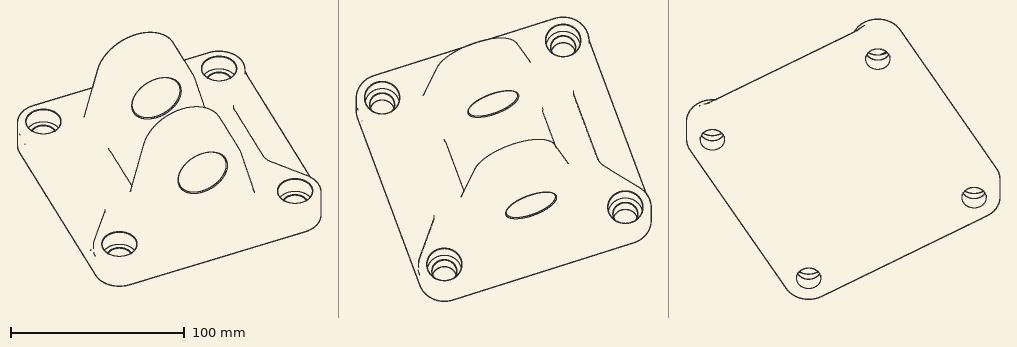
import cadquery as cq
import math

plate_side = 140.0
plate_height = 20.0
corner_radius = 15.0
edge_radius = 1.0
half_side = plate_side / 2
bolt_offset = half_side - corner_radius

recess_floor = 15.0
recess_wall_y = 50.0
recess_bend_x = 24.0
recess_bend_radius = 10.0

bolt_hole_diameter = 14.0
counterbore_diameter = 19.9
counterbore_depth = 10.0
bolt_hole_chamfer = 0.3

pin_height = 50.0
pin_hole_diameter = 30.0
pin_hole_chamfer = 0.5
lug_radius = 25.0
lug_inner_x = 18.5
lug_outer_x = 48.5
lug_foot_half_width = 33.0
lug_foot_radius = 2.0

scoop_radius = 42.0

clearance = 14.0

pick_margin = 0.1


def base_block():
    """Square block with rounded vertical corners, standing on Z = 0."""
    block = cq.Workplane("XY").box(plate_side, plate_side, plate_height, centered=(True, True, False))
    return block.edges("|Z").fillet(corner_radius)


def recess_cutter():
    """Cutter for the +Y recess; its sloping walls run tangent into the plate corners."""
    run = bolt_offset - recess_bend_x
    rise = bolt_offset - recess_wall_y
    slope = math.atan2(rise, run) + math.asin(corner_radius / math.hypot(run, rise))

    def corner_point(angle):
        return (
            bolt_offset - corner_radius * math.sin(angle),
            bolt_offset + corner_radius * math.cos(angle),
        )

    tangent_x, tangent_y = corner_point(slope)
    middle_x, middle_y = corner_point(slope / 2)
    outer_x = half_side + clearance
    outer_y = half_side + clearance
    cutter = (
        cq.Workplane("XY", origin=(0, 0, recess_floor))
        .moveTo(-outer_x, half_side)
        .lineTo(-bolt_offset, half_side)
        .threePointArc((-middle_x, middle_y), (-tangent_x, tangent_y))
        .lineTo(-recess_bend_x, recess_wall_y)
        .lineTo(recess_bend_x, recess_wall_y)
        .lineTo(tangent_x, tangent_y)
        .threePointArc((middle_x, middle_y), (bolt_offset, half_side))
        .lineTo(outer_x, half_side)
        .lineTo(outer_x, outer_y)
        .lineTo(-outer_x, outer_y)
        .close()
        .extrude(plate_height - recess_floor)
    )
    bends = cq.selectors.BoxSelector(
        (-recess_bend_x - pick_margin, recess_wall_y - pick_margin, recess_floor),
        (recess_bend_x + pick_margin, recess_wall_y + pick_margin, plate_height),
    )
    cutter = cutter.edges("|Z").edges(bends).fillet(recess_bend_radius)
    wall_foot = cq.selectors.BoxSelector(
        (-outer_x + pick_margin, recess_wall_y - pick_margin, recess_floor - pick_margin),
        (outer_x - pick_margin, half_side + pick_margin, recess_floor + pick_margin),
    )
    return cutter.faces("<Z").edges(wall_foot).fillet(edge_radius)


def base_plate():
    """Plate with a recess on each of its Y sides and rounded rims all round."""
    cutter = recess_cutter()
    plate = base_block().cut(cutter).cut(cutter.mirror("XZ"))
    floor_rims = plate.faces("<Y or >Y").edges(
        cq.selectors.BoxSelector(
            (-pick_margin, -half_side - pick_margin, recess_floor - pick_margin),
            (pick_margin, half_side + pick_margin, recess_floor + pick_margin),
        )
    )
    plate = floor_rims.fillet(edge_radius)
    return plate.faces("<Z or >Z").edges().fillet(edge_radius)


def lug(start_x):
    """Lug whose straight sides are tangent to its round head, standing on the plate."""
    rise = pin_height - plate_height
    head_to_foot = math.hypot(lug_foot_half_width, rise)
    tangent_angle = math.acos(lug_radius / head_to_foot) - math.atan2(rise, lug_foot_half_width)
    tangent_y = lug_radius * math.cos(tangent_angle)
    tangent_z = pin_height + lug_radius * math.sin(tangent_angle)
    body = (
        cq.Workplane("YZ", origin=(start_x, 0, 0))
        .moveTo(-lug_foot_half_width, plate_height)
        .lineTo(lug_foot_half_width, plate_height)
        .lineTo(tangent_y, tangent_z)
        .threePointArc((0, pin_height + lug_radius), (-tangent_y, tangent_z))
        .close()
        .extrude(lug_outer_x - lug_inner_x)
    )
    body = body.faces("<X or >X").edges("not <Z").fillet(edge_radius)
    pin_hole = (
        cq.Workplane("YZ", origin=(start_x, 0, pin_height))
        .circle(pin_hole_diameter / 2)
        .extrude(lug_outer_x - lug_inner_x)
    )
    body = body.cut(pin_hole)
    around_pin = cq.selectors.BoxSelector(
        (-half_side, -pick_margin, pin_height - pick_margin),
        (half_side, pick_margin, pin_height + pick_margin),
    )
    return body.faces("<X or >X").edges(around_pin).chamfer(pin_hole_chamfer)


def plate_with_lugs():
    """Plate and both lugs in one body, with fillets round the feet of the lugs."""
    body = base_plate().union(lug(lug_inner_x)).union(lug(-lug_outer_x))
    feet = cq.selectors.BoxSelector(
        (-lug_outer_x - pick_margin, -lug_foot_half_width - pick_margin, plate_height - pick_margin),
        (lug_outer_x + pick_margin, lug_foot_half_width + pick_margin, plate_height + pick_margin),
    )
    return body.edges(feet).fillet(lug_foot_radius)


def scoop_cutter():
    """Disc between the lugs; its rounded rims leave fillets against the lug faces."""
    disc = (
        cq.Workplane("YZ", origin=(-lug_inner_x, 0, pin_height))
        .circle(scoop_radius)
        .extrude(2 * lug_inner_x)
    )
    return disc.edges().fillet(edge_radius)


def bolt_hole_cutter():
    """Counterbored hole about the Z axis, chamfered at its mouth and at the ledge."""
    hole_radius = bolt_hole_diameter / 2
    bore_radius = counterbore_diameter / 2
    ledge_z = plate_height - counterbore_depth
    profile = [
        (0, 0),
        (hole_radius, 0),
        (hole_radius, ledge_z - bolt_hole_chamfer),
        (hole_radius + bolt_hole_chamfer, ledge_z),
        (bore_radius, ledge_z),
        (bore_radius, plate_height - bolt_hole_chamfer),
        (bore_radius + bolt_hole_chamfer, plate_height),
        (0, plate_height),
    ]
    return cq.Workplane("XZ").polyline(profile).close().revolve(360, (0, 0, 0), (0, 1, 0))


result = plate_with_lugs().cut(scoop_cutter())
for x in (-bolt_offset, bolt_offset):
    for y in (-bolt_offset, bolt_offset):
        result = result.cut(bolt_hole_cutter().translate((x, y, 0)))